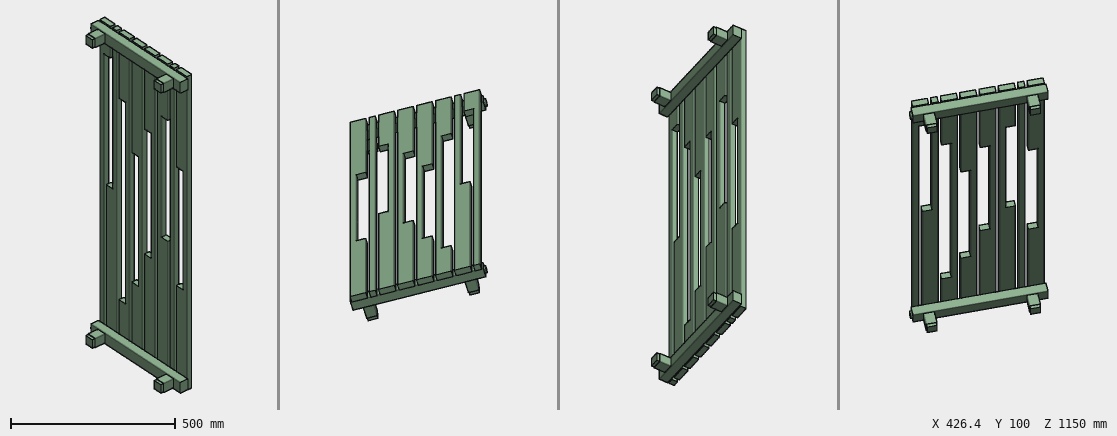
import cadquery as cq

GAP = 10.0
NARROW_WIDTH = 2 * GAP
WIDE_WIDTH = 5 * GAP

BAR_HEIGHT = 1150.0
BAR_DEPTH = 2 * GAP
BAR_ROUNDING = 1.7
BAR_ROW_WIDTH = 41 * GAP
FIRST_BAR_X = -BAR_ROW_WIDTH / 2

RAIL_LENGTH = BAR_ROW_WIDTH + GAP
RAIL_DEPTH = 31.0
RAIL_HEIGHT = 4 * GAP
RAIL_ROUNDING = 1.0
RAIL_END_INSET = GAP / 2
RAIL_Z = (BAR_HEIGHT - RAIL_HEIGHT) / 2 - RAIL_END_INSET

TOTAL_DEPTH = 100.0
FOOT_SIZE = 35.0
FOOT_SPACING = 322.0
FOOT_ROUNDING = 1.0
TIP_SIZE = 31.0
TIP_LENGTH = GAP
FOOT_LENGTH = TOTAL_DEPTH - BAR_DEPTH - RAIL_DEPTH - TIP_LENGTH

PLUG_RADIUS = 12.1
PLUG_LENGTH = 6.4
PLUG_ROUNDING = 2.0
SLOT_LENGTH = 9.0
SLOT_WIDTH = 5.0
SLOT_DEPTH = 2.0
SLOT_ANGLE = -45


def upright(left, width, bottom, top):
    """A rectangular piece of a bar, standing behind the rails, whose back is at Y = 0."""
    block = cq.Workplane("XY").box(width, BAR_DEPTH, top - bottom, centered=False)
    return block.translate((left, 0, bottom - BAR_HEIGHT / 2))


def round_bar(bar):
    return bar.edges("|Z").fillet(BAR_ROUNDING)


def narrow_bar(left):
    return round_bar(upright(left, NARROW_WIDTH, 0, BAR_HEIGHT))


def notched_bar(left, spine_side, notch_bottom, notch_top):
    """A wide bar cut back to a narrow spine between two heights above its lower end."""
    notch_width = WIDE_WIDTH - NARROW_WIDTH
    notch_left = left + NARROW_WIDTH if spine_side == "left" else left
    bar = upright(left, WIDE_WIDTH, 0, BAR_HEIGHT)
    bar = bar.cut(upright(notch_left, notch_width, notch_bottom, notch_top))
    return round_bar(bar)


def bar_left(modules):
    """X of a bar's left edge, counted in gap widths from the first bar."""
    return FIRST_BAR_X + modules * GAP


def rail(z):
    beam = cq.Workplane("XY").box(RAIL_LENGTH, RAIL_DEPTH, RAIL_HEIGHT)
    beam = beam.edges("|X").fillet(RAIL_ROUNDING)
    return beam.translate((0, -RAIL_DEPTH / 2, z))


def foot(x, z):
    block = cq.Workplane("XZ", origin=(x, -RAIL_DEPTH, z)).rect(FOOT_SIZE, FOOT_SIZE).extrude(FOOT_LENGTH)
    block = block.edges("|Y").fillet(FOOT_ROUNDING)
    return block.faces("<Y").workplane().rect(TIP_SIZE, TIP_SIZE).extrude(TIP_LENGTH)


def plug(z):
    rail_end = cq.Workplane("YZ", origin=(-RAIL_LENGTH / 2, -RAIL_DEPTH / 2, z))
    disc = rail_end.circle(PLUG_RADIUS).extrude(-PLUG_LENGTH)
    return disc.faces("<X").edges().fillet(PLUG_ROUNDING)


def make_radiator():
    bars = [
        notched_bar(bar_left(0), "left", 0, 1034.0),
        notched_bar(bar_left(3), "right", 560.0, BAR_HEIGHT),
        notched_bar(bar_left(9), "right", 169.0, 907.0),
        notched_bar(bar_left(15), "right", 265.0, 740.0),
        notched_bar(bar_left(21), "right", 398.0, 856.0),
        notched_bar(bar_left(27), "left", 500.0, 943.0),
        narrow_bar(bar_left(33)),
        notched_bar(bar_left(36), "right", 359.0, 794.0),
    ]
    radiator = rail(RAIL_Z).union(rail(-RAIL_Z))
    for bar in bars:
        radiator = radiator.union(bar)
    for x in (-FOOT_SPACING / 2, FOOT_SPACING / 2):
        for z in (-RAIL_Z, RAIL_Z):
            radiator = radiator.union(foot(x, z))
    return radiator.union(plug(RAIL_Z))


def make_vent_plug():
    face = plug(-RAIL_Z).faces("<X").workplane()
    tilted = face.transformed(rotate=(0, 0, SLOT_ANGLE))
    return tilted.slot2D(SLOT_LENGTH, SLOT_WIDTH).cutBlind(-SLOT_DEPTH)


radiator = make_radiator()
vent_plug = make_vent_plug()

result = cq.Compound.makeCompound([radiator.solids().val(), vent_plug.solids().val()])